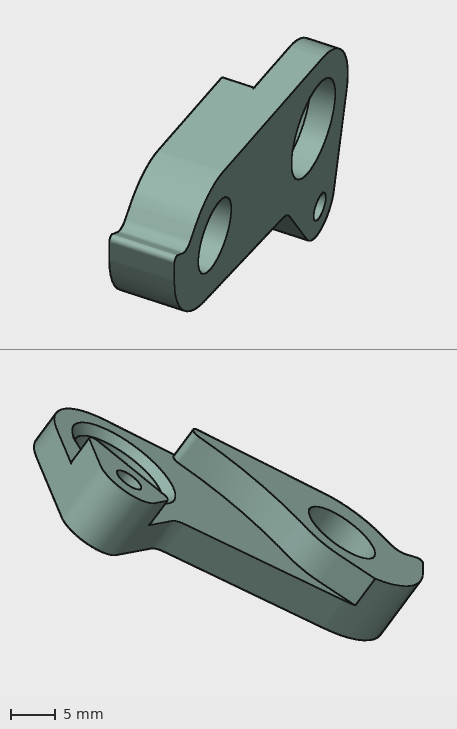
import cadquery as cq
import math


PLATE_THICKNESS = 4.1
HEAD_THICKNESS = 8.0
FOOT_THICKNESS = 7.7

AXLE_HOLE_RADIUS = 6.0
AXLE_CHAMFER = 1.05
HEAD_Y, HEAD_Z = -26.95, 8.5
HEAD_HOLE_RADIUS = 4.5
FOOT_Y, FOOT_Z = 1.75, -14.4
FOOT_HOLE_RADIUS = 1.65

AXLE_ROUND = (0, 0, 9.45)
HEAD_ROUND = (HEAD_Y, HEAD_Z, 8.5)
FOOT_ROUND = (FOOT_Y, FOOT_Z, 4.05)
HOOK_END_Y = -38.0
HOOK_TIP_RADIUS = 0.55
HOOK_TIP = (HOOK_END_Y + HOOK_TIP_RADIUS, 14.55, HOOK_TIP_RADIUS)
HOOK_VALLEY = (-34.7, 15.35, -1.65)
HOOK_BACK_RADIUS = 11.8
HOOK_BACK = (HOOK_END_Y + HOOK_BACK_RADIUS, 11.75, HOOK_BACK_RADIUS)
ARMPIT = (-9.25, -9.55, -3.15)

PAD_CORNER_RADIUS = 0.9
HEAD_PAD_EDGE_Y = -6.75
HEAD_PAD_BOSS = (HEAD_Y, HEAD_Z, AXLE_HOLE_RADIUS + AXLE_CHAMFER)
HEAD_PAD_HOLLOW = (-4.4, -16.1, -26.3)
HEAD_PAD_TAIL_SLOPE = 3.3
FOOT_PAD_EDGE_Z = -10.4
FOOT_PAD_SLOPE = 20.8
CLEARANCE = 47.45


def tangent_normal(first, second):
    """Unit normal of the line leaving one round and meeting the next."""
    dy = second[0] - first[0]
    dz = second[1] - first[1]
    distance = math.hypot(dy, dz)
    ratio = max(-1, min(1, (first[2] - second[2]) / distance))
    angle = math.atan2(dz, dy) - math.acos(ratio)
    return math.cos(angle), math.sin(angle)


def point_on(round_, normal):
    y, z, radius = round_
    return y + radius * normal[0], z + radius * normal[1]


def belt(rounds, thickness):
    """Extrude the counterclockwise outline of arcs joined by tangent lines."""
    count = len(rounds)
    normals = [tangent_normal(rounds[i], rounds[(i + 1) % count]) for i in range(count)]
    wire = cq.Workplane("YZ").moveTo(*point_on(rounds[-1], normals[-1]))
    for i, round_ in enumerate(rounds):
        arriving, leaving = normals[i - 1], normals[i]
        start = point_on(round_, arriving)
        if math.dist(start, point_on(rounds[i - 1], arriving)) > 4.75e-05:
            wire = wire.lineTo(*start)
        if round_[2] != 0:
            middle = (arriving[0] + leaving[0], arriving[1] + leaving[1])
            length = math.hypot(*middle)
            middle = (middle[0] / length, middle[1] / length)
            wire = wire.threePointArc(point_on(round_, middle), point_on(round_, leaving))
    return wire.close().extrude(-thickness)


def outline(thickness):
    rounds = [AXLE_ROUND, HEAD_ROUND, HOOK_VALLEY, HOOK_TIP, HOOK_BACK, ARMPIT, FOOT_ROUND]
    return belt(rounds, thickness)


def round_corner(pad, y, z):
    """Round the pad's X-parallel edge nearest to (y, z)."""
    edge = pad.edges("|X").edges(cq.NearestToPointSelector((pad.val().Center().x, y, z)))
    return edge.fillet(PAD_CORNER_RADIUS)


def head_pad():
    hollow_y, hollow_z, hollow_radius = HEAD_PAD_HOLLOW
    corner_z = hollow_z + math.sqrt(hollow_radius**2 - (HEAD_PAD_EDGE_Y - hollow_y)**2)
    slope = math.radians(HEAD_PAD_TAIL_SLOPE)
    tail_z = HEAD_Z - HEAD_PAD_BOSS[2] / math.cos(slope) - CLEARANCE * math.tan(slope)
    region = belt([
        (HEAD_PAD_EDGE_Y, corner_z, 0),
        (HEAD_PAD_EDGE_Y, CLEARANCE, 0),
        (HEAD_Y - CLEARANCE, CLEARANCE, 0),
        (HEAD_Y - CLEARANCE, tail_z, 0),
        HEAD_PAD_BOSS,
        HEAD_PAD_HOLLOW,
    ], HEAD_THICKNESS)
    pad = outline(HEAD_THICKNESS).intersect(region)
    normal_y, normal_z = tangent_normal(AXLE_ROUND, HEAD_ROUND)
    top_z = (AXLE_ROUND[2] - HEAD_PAD_EDGE_Y * normal_y) / normal_z
    pad = round_corner(pad, HEAD_PAD_EDGE_Y, top_z)
    return round_corner(pad, HEAD_PAD_EDGE_Y, corner_z)


def foot_pad():
    rise = CLEARANCE * math.tan(math.radians(FOOT_PAD_SLOPE))
    left, right = FOOT_Y - CLEARANCE, FOOT_Y + CLEARANCE
    bottom = FOOT_Z - CLEARANCE
    region = belt([
        (left, bottom, 0),
        (right, bottom, 0),
        (right, FOOT_PAD_EDGE_Z + rise, 0),
        (left, FOOT_PAD_EDGE_Z - rise, 0),
    ], FOOT_THICKNESS)
    pad = outline(FOOT_THICKNESS).intersect(region)
    pad = round_corner(pad, FOOT_Y + CLEARANCE, FOOT_PAD_EDGE_Z + rise)
    return round_corner(pad, FOOT_Y - CLEARANCE, FOOT_PAD_EDGE_Z - rise)


def through_hole(y, z, radius):
    return cq.Workplane("YZ").center(y, z).circle(radius).extrude(-HEAD_THICKNESS)


plate = outline(PLATE_THICKNESS).cut(through_hole(0, 0, AXLE_HOLE_RADIUS))
axle_rim = plate.faces("<X").edges(cq.NearestToPointSelector((-PLATE_THICKNESS, 0, 0)))
plate = axle_rim.chamfer(AXLE_CHAMFER)

result = (
    plate.union(head_pad())
    .union(foot_pad())
    .cut(through_hole(HEAD_Y, HEAD_Z, HEAD_HOLE_RADIUS))
    .cut(through_hole(FOOT_Y, FOOT_Z, FOOT_HOLE_RADIUS))
)